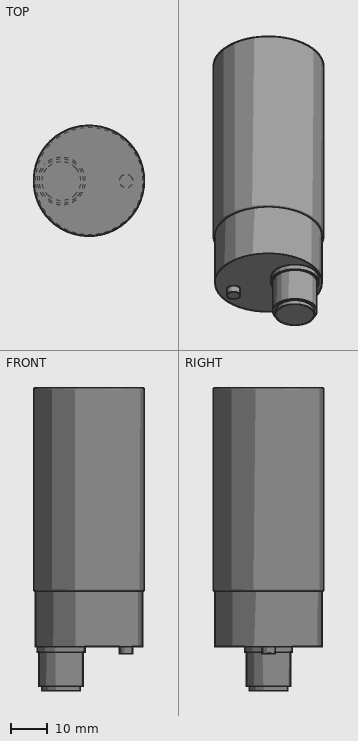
import cadquery as cq

total_length = 82.0

housing_diameter = 30.0
housing_bottom = 27.0
edge_radius = 0.5

cap_diameter = housing_diameter - 2 * edge_radius
cap_bottom = 12.0

connector_x = -7.55
collar_diameter = 12.95
collar_bottom = 10.5
barrel_diameter = 12.0
barrel_bottom = 1.2
tip_diameter = 10.5

pin_x = 10.0
pin_diameter = 3.6
pin_bottom = 10.0


def cylinder(diameter, bottom, top, x=0.0):
    """Vertical cylinder between two heights, centred at X = x, Y = 0."""
    return (
        cq.Workplane("XY", origin=(x, 0, bottom))
        .circle(diameter / 2)
        .extrude(top - bottom)
    )


def housing():
    body = cylinder(housing_diameter, housing_bottom, total_length)
    return body.faces("<Z or >Z").edges().fillet(edge_radius)


def connector():
    collar = cylinder(collar_diameter, collar_bottom, cap_bottom, connector_x)
    barrel = cylinder(barrel_diameter, barrel_bottom, collar_bottom, connector_x)
    tip = cylinder(tip_diameter, 0, barrel_bottom, connector_x)
    return collar.union(barrel).union(tip)


cap = cylinder(cap_diameter, cap_bottom, housing_bottom)
pin = cylinder(pin_diameter, pin_bottom, cap_bottom, pin_x)

result = housing().union(cap).union(connector()).union(pin)